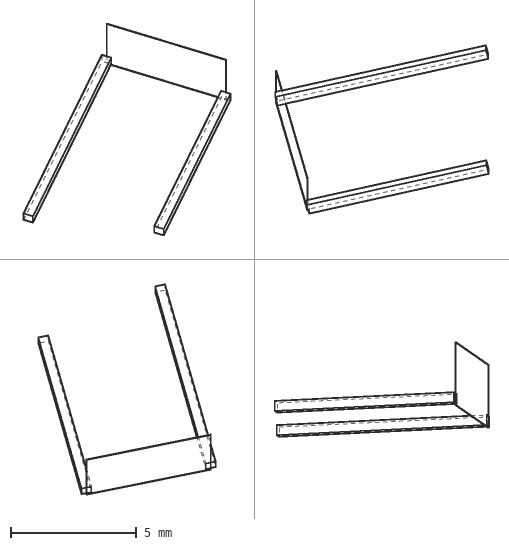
import cadquery as cq

plate_width = 5.08
plate_height = 2.54
plate_thickness = 0.0254

lead_size = 0.4064
lead_bottom_gap = 0.0762
long_lead_length = 8.636
lead_length_difference = 1.27
short_lead_length = long_lead_length - lead_length_difference


def make_plate():
    """Plate standing on Z = 0 with its front face on Y = 0."""
    return cq.Workplane("XY").box(
        plate_width, plate_thickness, plate_height, centered=(True, False, False)
    )


def make_lead(center_x, length):
    """Square lead running from the plate's front face toward -Y."""
    return (
        cq.Workplane("XY")
        .box(lead_size, length, lead_size, centered=(True, False, False))
        .translate((center_x, -length, lead_bottom_gap))
    )


long_lead = make_lead(-plate_width / 2, long_lead_length)
short_lead = make_lead(plate_width / 2, short_lead_length)

result = make_plate().union(long_lead).union(short_lead)